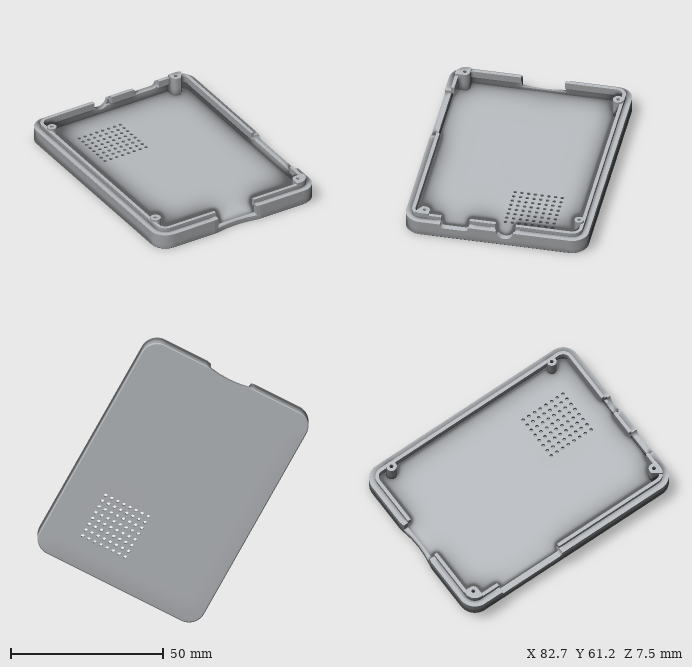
import cadquery as cq

LENGTH = 82.67
WIDTH = 61.18
RIM_HEIGHT = 5.35
FLOOR = 1.0
WALL = 2.05
CORNER_RADIUS = 5.6
BOTTOM_CHAMFER = 0.35

LIP_THICKNESS = 1.15
LIP_BOTTOM = 4.4
LIP_TOP = 6.8

BOSS_TOP = 7.5
BOSS_DIAMETER = 3.5
SMALL_BOSS_DIAMETER = 3.1
SCREW_HOLE_DIAMETER = 1.25
FRONT_BOSS_Y = -26.7
FRONT_LEFT_BOSS = (-32.4, FRONT_BOSS_Y)
FRONT_RIGHT_BOSS = (32.35, FRONT_BOSS_Y)
BACK_LEFT_BOSS = (-37.25, 24.1)
BACK_RIGHT_BOSS = (36.7, 25.5)
BACK_LEFT_WEB_TILT = 146.0
BACK_LEFT_WEB_LENGTH = 6.0

VENT_DIAMETER = 1.2
VENT_PITCH_X = 2.29
VENT_PITCH_Y = 2.26
VENT_COUNT = 8
VENT_FIRST_X = -30.25
VENT_TOP_Y = -1.6

OPENING_BOTTOM = 3.9
LEFT_OPENING_Y = (8.65, 18.2)
LEFT_OPENING_RADIUS = 1.4
BACK_OPENING_X = (4.3, 28.5)
BACK_OPENING_LEFT_RADIUS = 1.4
BACK_OPENING_RIGHT_RADIUS = 0.6

CABLE_Y = -3.4
CABLE_Z = 5.55
CABLE_RADIUS = 2.9
CABLE_RECESS_WIDTH = 6.7
CABLE_RECESS_BOTTOM = 3.5
CABLE_SKIN = 1.05

RIGHT_OPENING_Y = (-7.75, 7.0)
RIGHT_OPENING_BOTTOM = 2.0
SCOOP_CENTER_Y = -0.55
SCOOP_LENGTH = 17.5
SCOOP_DEPTH = 1.15
SCOOP_RADIUS = ((SCOOP_LENGTH / 2) ** 2 + SCOOP_DEPTH**2) / (2 * SCOOP_DEPTH)
SCOOP_AXIS_X = LENGTH / 2 - SCOOP_DEPTH + SCOOP_RADIUS
SILL_CHAMFER = 0.3

CUT_MARGIN = 1.0

LEFT_FACE = -LENGTH / 2
RIGHT_FACE = LENGTH / 2
BACK_FACE = WIDTH / 2
LEFT_INNER = LEFT_FACE + WALL
RIGHT_INNER = RIGHT_FACE - WALL
BACK_INNER = BACK_FACE - WALL
LIP_INSET = WALL + LIP_THICKNESS
CUT_TOP = BOSS_TOP + CUT_MARGIN


def inset_block(inset, bottom, top):
    """Rounded block following the tray outline, moved inwards by inset."""
    return (
        cq.Workplane("XY", origin=(0, 0, bottom))
        .rect(LENGTH - 2 * inset, WIDTH - 2 * inset)
        .extrude(top - bottom)
        .edges("|Z")
        .fillet(CORNER_RADIUS - inset)
    )


def box_between(x_range, y_range, z_range):
    """Axis-aligned box given by its limits along each axis."""
    size = [high - low for low, high in (x_range, y_range, z_range)]
    corner = (x_range[0], y_range[0], z_range[0])
    return cq.Workplane("XY", origin=corner).box(*size, centered=False)


def boss_cylinder(center, diameter):
    """Round boss standing on the floor."""
    return (
        cq.Workplane("XY", origin=(0, 0, FLOOR))
        .center(*center)
        .circle(diameter / 2)
        .extrude(BOSS_TOP - FLOOR)
    )


def make_tray():
    tray = inset_block(0, 0, RIM_HEIGHT).faces("<Z").chamfer(BOTTOM_CHAMFER)
    return tray.cut(inset_block(WALL, FLOOR, CUT_TOP))


def make_lip():
    lip = inset_block(WALL, LIP_BOTTOM, LIP_TOP)
    return lip.cut(inset_block(LIP_INSET, LIP_BOTTOM, LIP_TOP))


def make_back_left_boss():
    """Boss joined to the left wall by a straight web and to the corner by a tilted one."""
    x, y = BACK_LEFT_BOSS
    radius = BOSS_DIAMETER / 2
    side_web = box_between((LEFT_INNER, x), (y - radius, y + radius), (FLOOR, BOSS_TOP))
    corner_web = (
        cq.Workplane("XY", origin=(x, y, FLOOR))
        .transformed(rotate=(0, 0, BACK_LEFT_WEB_TILT))
        .rect(2 * BACK_LEFT_WEB_LENGTH, BOSS_DIAMETER)
        .extrude(BOSS_TOP - FLOOR)
    )
    left_half = box_between((LEFT_FACE, x + radius), (y, BACK_FACE), (FLOOR, BOSS_TOP))
    corner_web = corner_web.intersect(left_half)
    return boss_cylinder(BACK_LEFT_BOSS, BOSS_DIAMETER).union(side_web).union(corner_web)


def make_back_right_boss():
    """Boss squared off into the back right corner."""
    x, y = BACK_RIGHT_BOSS
    radius = BOSS_DIAMETER / 2
    heights = (FLOOR, BOSS_TOP)
    right_web = box_between((x, RIGHT_INNER), (y - radius, BACK_INNER), heights)
    back_web = box_between((x - radius, RIGHT_INNER), (y, BACK_INNER), heights)
    return boss_cylinder(BACK_RIGHT_BOSS, BOSS_DIAMETER).union(right_web).union(back_web)


def make_bosses():
    bosses = (
        boss_cylinder(FRONT_LEFT_BOSS, SMALL_BOSS_DIAMETER)
        .union(boss_cylinder(FRONT_RIGHT_BOSS, BOSS_DIAMETER))
        .union(make_back_left_boss())
        .union(make_back_right_boss())
    )
    return bosses.intersect(inset_block(WALL, FLOOR, BOSS_TOP))


def screw_holes():
    """Blind holes from the boss tops down to the floor."""
    centers = [FRONT_LEFT_BOSS, FRONT_RIGHT_BOSS, BACK_LEFT_BOSS, BACK_RIGHT_BOSS]
    return (
        cq.Workplane("XY", origin=(0, 0, FLOOR))
        .pushPoints(centers)
        .circle(SCREW_HOLE_DIAMETER / 2)
        .extrude(CUT_TOP - FLOOR)
    )


def vent_holes():
    centers = [
        (VENT_FIRST_X + column * VENT_PITCH_X, VENT_TOP_Y - row * VENT_PITCH_Y)
        for column in range(VENT_COUNT)
        for row in range(VENT_COUNT)
    ]
    return cq.Workplane("XY").pushPoints(centers).circle(VENT_DIAMETER / 2).extrude(FLOOR)


def left_opening():
    cutter = box_between(
        (LEFT_FACE - CUT_MARGIN, LEFT_FACE + LIP_INSET + CUT_MARGIN),
        LEFT_OPENING_Y,
        (OPENING_BOTTOM, CUT_TOP),
    )
    return cutter.faces("<Z").edges("|X").fillet(LEFT_OPENING_RADIUS)


def back_opening():
    cutter = box_between(
        BACK_OPENING_X,
        (BACK_FACE - LIP_INSET - CUT_MARGIN, BACK_FACE + CUT_MARGIN),
        (OPENING_BOTTOM, CUT_TOP),
    )
    cutter = cutter.faces("<X").edges("<Z").fillet(BACK_OPENING_LEFT_RADIUS)
    return cutter.faces(">X").edges("<Z").fillet(BACK_OPENING_RIGHT_RADIUS)


def cable_notch():
    inner_end = LEFT_FACE + LIP_INSET + CUT_MARGIN
    round_notch = (
        cq.Workplane("YZ", origin=(LEFT_FACE - CUT_MARGIN, 0, 0))
        .center(CABLE_Y, CABLE_Z)
        .circle(CABLE_RADIUS)
        .extrude(inner_end - LEFT_FACE + CUT_MARGIN)
    )
    recess = box_between(
        (LEFT_FACE + CABLE_SKIN, inner_end),
        (CABLE_Y - CABLE_RECESS_WIDTH / 2, CABLE_Y + CABLE_RECESS_WIDTH / 2),
        (CABLE_RECESS_BOTTOM, CUT_TOP),
    )
    return round_notch.union(recess)


def right_opening():
    return box_between(
        (RIGHT_FACE - LIP_INSET - CUT_MARGIN, RIGHT_FACE + CUT_MARGIN),
        RIGHT_OPENING_Y,
        (RIGHT_OPENING_BOTTOM, CUT_TOP),
    )


def finger_scoop():
    """Shallow full-height arc cut in the outer right face."""
    return (
        cq.Workplane("XY", origin=(SCOOP_AXIS_X, SCOOP_CENTER_Y, 0))
        .circle(SCOOP_RADIUS)
        .extrude(RIM_HEIGHT)
    )


def sill_chamfer():
    """Chamfer along the curved outer edge of the right opening's floor."""
    chamfer_bottom = RIGHT_OPENING_BOTTOM - SILL_CHAMFER
    cone = (
        cq.Workplane("XY", origin=(SCOOP_AXIS_X, SCOOP_CENTER_Y, chamfer_bottom))
        .circle(SCOOP_RADIUS)
        .workplane(offset=SILL_CHAMFER)
        .circle(SCOOP_RADIUS + SILL_CHAMFER)
        .loft()
    )
    opening_span = box_between(
        (RIGHT_INNER, RIGHT_FACE),
        RIGHT_OPENING_Y,
        (chamfer_bottom, RIGHT_OPENING_BOTTOM),
    )
    return cone.intersect(opening_span)


result = make_tray().union(make_lip()).union(make_bosses())
for cutter in (
    left_opening(),
    back_opening(),
    cable_notch(),
    right_opening(),
    finger_scoop(),
    sill_chamfer(),
    screw_holes(),
    vent_holes(),
):
    result = result.cut(cutter)